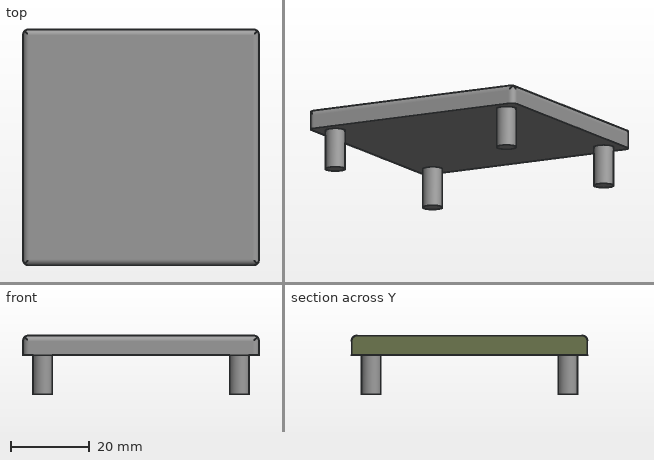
import cadquery as cq

plate_side = 60.0
plate_thickness = 5.0
edge_radius = 1.5

leg_diameter = 5.0
leg_length = 10.0
leg_spacing = 50.0


def make_block(rounded_edges):
    """Plate-sized block with only the selected edges rounded."""
    block = cq.Workplane("XY").box(
        plate_side, plate_side, plate_thickness, centered=(True, True, False)
    )
    return block.edges(rounded_edges).fillet(edge_radius)


def make_plate():
    """Plate whose straight top and corner rounds meet in mitres, with no ball corners."""
    rounded_corners = make_block("|Z")
    rounded_along_x = make_block("|X and >Z")
    rounded_along_y = make_block("|Y and >Z")
    return rounded_corners.intersect(rounded_along_x).intersect(rounded_along_y)


def make_legs():
    """Four cylinders hanging from the underside of the plate."""
    return (
        cq.Workplane("XY")
        .rarray(leg_spacing, leg_spacing, 2, 2)
        .circle(leg_diameter / 2)
        .extrude(-leg_length)
    )


result = make_plate().union(make_legs())